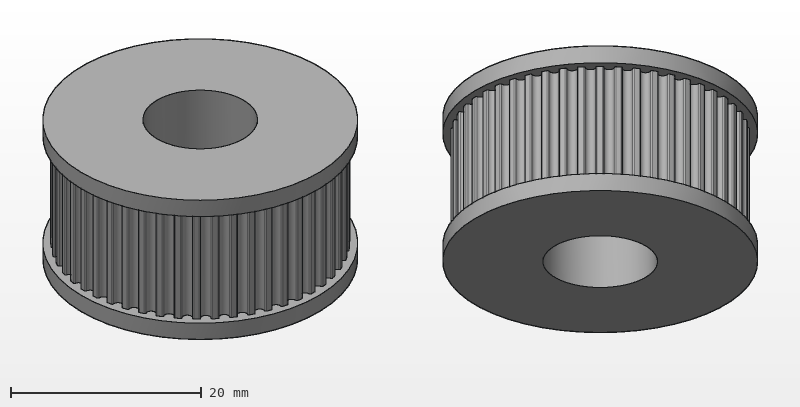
import cadquery as cq
import math

flange_diameter = 33.0
flange_thickness = 2.0
overall_height = 17.0
bore_diameter = 12.0
belt_width = overall_height - 2 * flange_thickness

tooth_count = 50
belt_pitch = 2.0
pitch_line_offset = 0.254
groove_depth = 0.75
groove_radius = 0.555
tip_radius = 0.15

tip_circle_radius = tooth_count * belt_pitch / (2 * math.pi) - pitch_line_offset
groove_center_radius = tip_circle_radius - groove_depth + groove_radius

round_center_radius = tip_circle_radius - tip_radius
round_to_groove = groove_radius + tip_radius
round_center_y = (
    round_center_radius**2 + groove_center_radius**2 - round_to_groove**2
) / (2 * groove_center_radius)
round_center_x = math.sqrt(round_center_radius**2 - round_center_y**2)


def point_on_round(direction_x, direction_y):
    """Point of the +X tip round in a given direction from its center."""
    length = math.hypot(direction_x, direction_y)
    return (
        round_center_x + tip_radius * direction_x / length,
        round_center_y + tip_radius * direction_y / length,
    )


def mirrored(point):
    """The same point on the other side of the groove's center line."""
    return (-point[0], point[1])


def groove_cutter():
    """Groove at the +Y side, closed by a straight edge outside the tip circle."""
    to_groove_x = -round_center_x
    to_groove_y = groove_center_radius - round_center_y
    to_groove = math.hypot(to_groove_x, to_groove_y)
    tip_end = point_on_round(round_center_x, round_center_y)
    arc_end = point_on_round(to_groove_x, to_groove_y)
    round_middle = point_on_round(
        to_groove_x / to_groove + round_center_x / round_center_radius,
        to_groove_y / to_groove + round_center_y / round_center_radius,
    )
    groove_bottom = (0, tip_circle_radius - groove_depth)
    outer_corner = (tip_end[0], flange_diameter / 2)
    return (
        cq.Workplane("XY")
        .workplane(offset=flange_thickness)
        .moveTo(*outer_corner)
        .lineTo(*tip_end)
        .threePointArc(round_middle, arc_end)
        .threePointArc(groove_bottom, mirrored(arc_end))
        .threePointArc(mirrored(round_middle), mirrored(tip_end))
        .lineTo(*mirrored(outer_corner))
        .close()
        .extrude(belt_width)
    )


def toothed_body():
    body = (
        cq.Workplane("XY")
        .workplane(offset=flange_thickness)
        .circle(tip_circle_radius)
        .extrude(belt_width)
    )
    cutter = groove_cutter().val()
    axis_start = (0, 0, 0)
    axis_end = (0, 0, 1)
    tooth_angle = 360 / tooth_count
    grooves = [
        cutter.rotate(axis_start, axis_end, index * tooth_angle)
        for index in range(tooth_count)
    ]
    return body.cut(cq.Workplane("XY").newObject(grooves))


def flange(bottom):
    return (
        cq.Workplane("XY")
        .workplane(offset=bottom)
        .circle(flange_diameter / 2)
        .extrude(flange_thickness)
    )


def bore():
    return cq.Workplane("XY").circle(bore_diameter / 2).extrude(overall_height)


result = (
    toothed_body()
    .union(flange(0))
    .union(flange(overall_height - flange_thickness))
    .cut(bore())
)